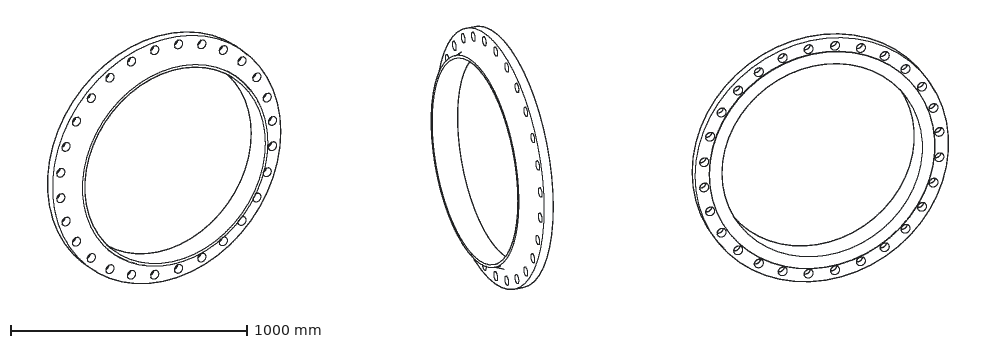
import cadquery as cq


flange_diameter = 1125.0
raised_face_diameter = 1000.0
hub_base_diameter = 954.0
pipe_diameter = 914.0
bore_diameter = 889.0

total_length = 118.0
raised_face_height = 6.0
plate_thickness = 43.0
pipe_end_length = 19.0

hub_base_fillet = 10.0
hub_end_fillet = 16.0

bolt_count = 28
bolt_circle_diameter = 1050.0
bolt_hole_diameter = 39.0

plate_front = raised_face_height
plate_back = plate_front + plate_thickness
hub_end = total_length - pipe_end_length

match_tolerance = 0.1


def revolved_body():
    """Revolve the flange section, drawn as (axial, radial) points, about X."""
    section = [
        (0, bore_diameter / 2),
        (0, raised_face_diameter / 2),
        (plate_front, raised_face_diameter / 2),
        (plate_front, flange_diameter / 2),
        (plate_back, flange_diameter / 2),
        (plate_back, hub_base_diameter / 2),
        (hub_end, pipe_diameter / 2),
        (total_length, pipe_diameter / 2),
        (total_length, bore_diameter / 2),
    ]
    return cq.Workplane("XY").polyline(section).close().revolve(360, (0, 0, 0), (1, 0, 0))


def bolt_holes():
    """Through holes on the bolt circle, offset half a pitch from the Y axis."""
    half_pitch = 180 / bolt_count
    return (
        cq.Workplane("YZ")
        .polarArray(bolt_circle_diameter / 2, half_pitch, 360, bolt_count)
        .circle(bolt_hole_diameter / 2)
        .extrude(total_length)
    )


def fillet_rim(body, axial, diameter, fillet_radius):
    """Fillet the circular edge at the given axial station and diameter."""
    rims = [
        edge
        for edge in body.edges("%CIRCLE").vals()
        if abs(edge.Center().x - axial) < match_tolerance
        and abs(edge.radius() - diameter / 2) < match_tolerance
    ]
    return body.newObject(rims).fillet(fillet_radius)


body = revolved_body()
body = fillet_rim(body, plate_back, hub_base_diameter, hub_base_fillet)
body = fillet_rim(body, hub_end, pipe_diameter, hub_end_fillet)
result = body.cut(bolt_holes())